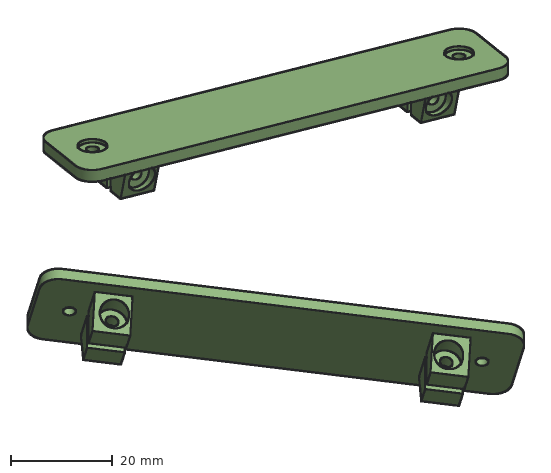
import cadquery as cq

plate_width = 19.5
plate_length = 97
total_height = 10.6
plate_thickness = 2.6
corner_radius = 3.8

hole_diameter = 2.5
counterbore_diameter = 5.8
plate_counterbore_depth = 0.8
plate_hole_y = 41.3

lug_height = total_height - plate_thickness
lug_top_width = 14.2
lug_bottom_width = 9.4
lug_length = 7.6
lug_end_gap = 10.9
lug_center_y = plate_length / 2 - lug_end_gap - lug_length / 2
slot_width = 1.5
lug_hole_y = 33.5
lug_hole_z = -plate_thickness - lug_height / 2
lug_counterbore_floor_x = 3.5


def make_plate():
    """Rounded plate with a counterbored hole near each end."""
    return (
        cq.Workplane("XY")
        .rect(plate_width, plate_length)
        .extrude(-plate_thickness)
        .edges("|Z")
        .fillet(corner_radius)
        .faces(">Z")
        .workplane(origin=(0, 0, 0))
        .pushPoints([(0, plate_hole_y), (0, -plate_hole_y)])
        .cboreHole(hole_diameter, counterbore_diameter, plate_counterbore_depth)
    )


def cylinder_along_x(diameter, start_x, end_x):
    """Cylinder on the lug hole axis between two X positions."""
    return (
        cq.Workplane("YZ", origin=(start_x, lug_hole_y, lug_hole_z))
        .circle(diameter / 2)
        .extrude(end_x - start_x)
    )


def make_lug():
    """Split lug at the +Y end, cross-drilled and counterbored from both sides."""
    bottom_z = -plate_thickness - lug_height
    lug = (
        cq.Workplane("XZ", origin=(0, lug_center_y, 0))
        .moveTo(-lug_top_width / 2, -plate_thickness)
        .lineTo(lug_top_width / 2, -plate_thickness)
        .lineTo(lug_bottom_width / 2, bottom_z)
        .lineTo(-lug_bottom_width / 2, bottom_z)
        .close()
        .extrude(lug_length / 2, both=True)
    )
    slot = cq.Workplane("XY").box(slot_width, lug_length, lug_height)
    lug = lug.cut(slot.translate((0, lug_center_y, lug_hole_z)))
    outer_x = lug_top_width / 2
    lug = lug.cut(cylinder_along_x(hole_diameter, -outer_x, outer_x))
    for side in (-1, 1):
        lug = lug.cut(
            cylinder_along_x(counterbore_diameter, side * lug_counterbore_floor_x, side * outer_x)
        )
    return lug


lug = make_lug()
result = make_plate().union(lug).union(lug.mirror("XZ"))